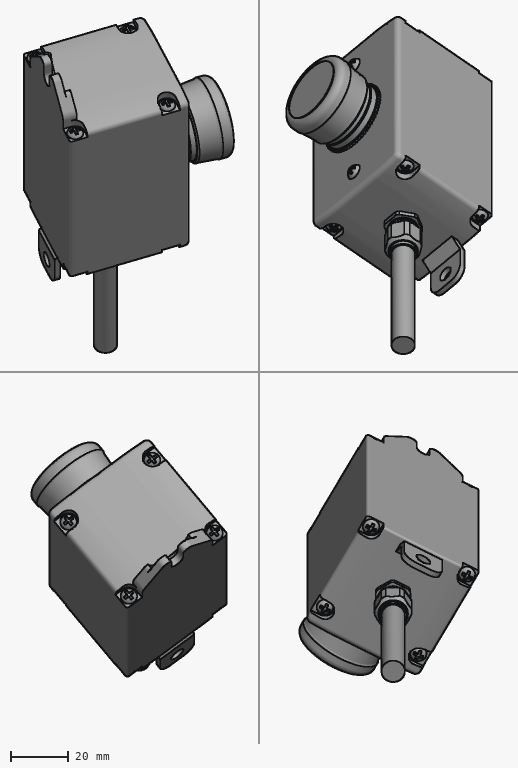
import cadquery as cq
import math


TOTAL_HEIGHT = 152.9

WIDTH = 45.0
DEPTH = 45.4
HEIGHT = 77.0
CENTER_Z = HEIGHT / 2
HALF_WIDTH = WIDTH / 2
FLAT_HALF_WIDTH = 10.0
END_ARC_RADIUS = 55.0
SIDE_EDGE_RADIUS = 1.8
LID_EDGE_RADIUS = 2.0
BACK_EDGE_RADIUS = 0.9

POCKET_RADIUS = 3.4
POCKET_DEPTH = 3.4
FRONT_SCREW = (18.7, 38.0)
BACK_SCREW = (19.1, 3.2)
LID_SCREW_OFFSET = 28.1
HEAD_RADIUS = 2.9
HEAD_HEIGHT = 2.0
CROSS_LENGTH = 3.7
CROSS_WIDTH = 0.9
CROSS_DEPTH = 0.8

TAB_TOP = 89.1
TAB_HALF_WIDTH = 15.7
TAB_SHOULDER_Z = 79.4
TAB_THICKNESS = 5.2
TAB_SHOULDER_RADIUS = 3.8
TAB_TIP_RADIUS = 2.5
SLOT_MOUTH_RADIUS = 1.7
SEAT_THICKNESS = 3.0
SEAT_TOP_Z = 85.0
SEAT_RADIUS = 9.0
SEAT_CENTER_Z = 86.2
SLOT_RADIUS = 2.6
SLOT_CENTER_Z = 83.6

STRAP_WIDTH = 15.3
STRAP_THICKNESS = 2.1
STRAP_DROP = 16.7
STRAP_BEND_ANGLE = math.radians(45)
STRAP_BEND_Z = -3.0
STRAP_CORNER_RADIUS = 4.9
STRAP_HOLE_RADIUS = 2.8
STRAP_HOLE_Z = -10.5

COLLAR_RADIUS = 13.8
COLLAR_FRONT = 46.5
COLLAR_TEETH = 60
NECK_RADIUS = 12.8
NECK_GROOVE_Y = 49.0
NECK_GROOVE_WIDTH = 0.5
NECK_GROOVE_DEPTH = 0.3
SKIRT_BACK = 51.5
SKIRT_BACK_RADIUS = 14.0
SKIRT_BACK_CHAMFER = 0.6
SKIRT_TAPER_START = 53.4
SKIRT_TAPER_END = 60.0
SKIRT_FRONT_RADIUS = 14.7
BAND_BACK = 60.7
BAND_RADIUS = 15.0
BUTTON_FRONT = 65.9
BUTTON_EDGE_RADIUS = 2.6
BAND_FRONT = 65.6
FACE_RADIUS = 11.6

GLAND_Y = 22.2
HEX_FLATS = 12.2
BASE_HEX_ROUND = 6.7
BASE_HEX_BOTTOM = 1.8
GLAND_NECK_RADIUS = 5.2
KNURL_TOP = 2.5
KNURL_RADIUS = 5.7
KNURL_TEETH = 30
NUT_TOP = 4.9
NUT_BOTTOM = 13.8
NUT_ROUND = 6.5
NUT_CONE_TOP = 12.2
NUT_CONE_END_RADIUS = 5.2
SEAL_RADIUS = 4.7
SEAL_BOTTOM = 15.3
CABLE_RADIUS = 4.1
CABLE_BOTTOM = TOTAL_HEIGHT - TAB_TOP

TOOTH_DEPTH = 0.5
PICK_MARGIN = 0.2
CLEARANCE = 1.5
OVERLAP = 0.8


def edges_between(x_min, x_max, z_min, z_max):
    """Selector of the edges whose centers lie in a range of X and Z."""
    low = (x_min - PICK_MARGIN, 0, z_min - PICK_MARGIN)
    high = (x_max + PICK_MARGIN, DEPTH, z_max + PICK_MARGIN)
    return cq.selectors.BoxSelector(low, high)


def arc_drop(reach):
    """Fall of an end face at a distance outside its flat strip."""
    return END_ARC_RADIUS - math.sqrt(END_ARC_RADIUS**2 - reach**2)


def make_housing():
    """Block with crowned ends, and rounded side, lid and back edges."""
    reach = HALF_WIDTH - FLAT_HALF_WIDTH
    drop = arc_drop(reach)
    side_top = HEIGHT - drop
    mid_x = FLAT_HALF_WIDTH + reach / 2
    mid_drop = arc_drop(reach / 2)
    block = (
        cq.Workplane("XZ")
        .moveTo(-FLAT_HALF_WIDTH, HEIGHT)
        .lineTo(FLAT_HALF_WIDTH, HEIGHT)
        .threePointArc((mid_x, HEIGHT - mid_drop), (HALF_WIDTH, side_top))
        .lineTo(HALF_WIDTH, drop)
        .threePointArc((mid_x, mid_drop), (FLAT_HALF_WIDTH, 0))
        .lineTo(-FLAT_HALF_WIDTH, 0)
        .threePointArc((-mid_x, mid_drop), (-HALF_WIDTH, drop))
        .lineTo(-HALF_WIDTH, side_top)
        .threePointArc((-mid_x, HEIGHT - mid_drop), (-FLAT_HALF_WIDTH, HEIGHT))
        .close()
        .extrude(-DEPTH)
    )
    for x in (-HALF_WIDTH, HALF_WIDTH):
        corner_edges = edges_between(x, x, 0, HEIGHT)
        block = block.edges("|Y").edges(corner_edges).fillet(SIDE_EDGE_RADIUS)
    block = block.faces(">Y").edges().fillet(LID_EDGE_RADIUS)
    return block.faces("<Y").edges("|Z").fillet(BACK_EDGE_RADIUS)


def make_pocket(x, y):
    """Round screw pocket in the top corner, open to the side and, at the back, to Y = 0."""
    side = math.copysign(1, x)
    outward = HALF_WIDTH - abs(x) + CLEARANCE
    height = POCKET_DEPTH + CLEARANCE
    plane = cq.Workplane("XY", origin=(x, y, HEIGHT - POCKET_DEPTH))
    bore = plane.circle(POCKET_RADIUS).extrude(height)
    opening = plane.center(side * outward / 2, 0).rect(outward, 2 * POCKET_RADIUS).extrude(height)
    pocket = bore.union(opening)
    reaches_back = y < POCKET_RADIUS
    if reaches_back:
        gap_width = POCKET_RADIUS + outward
        gap_center_x = side * (outward - POCKET_RADIUS) / 2
        gap = plane.center(gap_center_x, -y / 2).rect(gap_width, y).extrude(height)
        pocket = pocket.union(gap)
    return pocket


def make_screw_head():
    """Domed head with a cross recess, seated on Z = 0 and pointing along +Z."""
    dome_radius = (HEAD_RADIUS**2 + HEAD_HEIGHT**2) / (2 * HEAD_HEIGHT)
    mid_x = HEAD_RADIUS / 2
    mid_z = HEAD_HEIGHT - dome_radius + math.sqrt(dome_radius**2 - mid_x**2)
    head = (
        cq.Workplane("XZ")
        .moveTo(0, -OVERLAP)
        .lineTo(HEAD_RADIUS, -OVERLAP)
        .lineTo(HEAD_RADIUS, 0)
        .threePointArc((mid_x, mid_z), (0, HEAD_HEIGHT))
        .close()
        .revolve(360, (0, 0), (0, 1))
    )
    floor = cq.Workplane("XY", origin=(0, 0, HEAD_HEIGHT - CROSS_DEPTH))
    for length_x, length_y in ((CROSS_LENGTH, CROSS_WIDTH), (CROSS_WIDTH, CROSS_LENGTH)):
        head = head.cut(floor.rect(length_x, length_y).extrude(CROSS_DEPTH))
    return head


def shouldered_plate(top, thickness):
    """Plate on Y = 0 that narrows through 45 degree shoulders to a rounded top edge."""
    root_z = HEIGHT - POCKET_DEPTH
    tip_half_width = TAB_HALF_WIDTH - (top - TAB_SHOULDER_Z)
    outline = [
        (-TAB_HALF_WIDTH, root_z),
        (TAB_HALF_WIDTH, root_z),
        (TAB_HALF_WIDTH, TAB_SHOULDER_Z),
        (tip_half_width, top),
        (-tip_half_width, top),
        (-TAB_HALF_WIDTH, TAB_SHOULDER_Z),
    ]
    plate = cq.Workplane("XZ").polyline(outline).close().extrude(-thickness)
    shoulders = edges_between(-TAB_HALF_WIDTH, TAB_HALF_WIDTH, TAB_SHOULDER_Z, TAB_SHOULDER_Z)
    plate = plate.edges("|Y").edges(shoulders).fillet(TAB_SHOULDER_RADIUS)
    return plate.faces(">Z").edges("|Y").fillet(TAB_TIP_RADIUS)


def make_tab():
    """Slotted tab above the housing: a thin plate with a lower, thicker screw seat."""
    seat_plane = cq.Workplane("XZ", origin=(0, SEAT_THICKNESS, 0))
    seat = seat_plane.center(0, SEAT_CENTER_Z).circle(SEAT_RADIUS).extrude(-TAB_THICKNESS)
    thick_part = shouldered_plate(SEAT_TOP_Z, TAB_THICKNESS).cut(seat)
    plate = shouldered_plate(TAB_TOP, SEAT_THICKNESS).union(thick_part)

    slot_plane = cq.Workplane("XZ").center(0, SLOT_CENTER_Z)
    slot_length = TAB_TOP - SLOT_CENTER_Z + CLEARANCE
    slot = slot_plane.circle(SLOT_RADIUS).extrude(-TAB_THICKNESS)
    channel = slot_plane.center(0, slot_length / 2).rect(2 * SLOT_RADIUS, slot_length)
    plate = plate.cut(slot).cut(channel.extrude(-TAB_THICKNESS))

    mouth = edges_between(-SLOT_RADIUS, SLOT_RADIUS, TAB_TOP, TAB_TOP)
    return plate.edges("|Y").edges(mouth).fillet(SLOT_MOUTH_RADIUS)


def make_strap():
    """Flat strap below the housing, bent at 45 degrees into the underside."""
    bend_shift = STRAP_THICKNESS * math.tan(STRAP_BEND_ANGLE / 2)
    inner_bend_z = STRAP_BEND_Z - bend_shift
    outer_root_y = OVERLAP - STRAP_BEND_Z
    inner_root_y = STRAP_THICKNESS + OVERLAP - inner_bend_z
    section = [
        (0, -STRAP_DROP),
        (0, STRAP_BEND_Z),
        (outer_root_y, OVERLAP),
        (inner_root_y, OVERLAP),
        (STRAP_THICKNESS, inner_bend_z),
        (STRAP_THICKNESS, -STRAP_DROP),
    ]
    strap = cq.Workplane("YZ").polyline(section).close().extrude(STRAP_WIDTH / 2, both=True)
    strap = strap.faces("<Z").edges("|Y").fillet(STRAP_CORNER_RADIUS)
    hole = cq.Workplane("XZ").center(0, STRAP_HOLE_Z).circle(STRAP_HOLE_RADIUS)
    return strap.cut(hole.extrude(-STRAP_THICKNESS))


def toothed_disc(plane, radius, teeth, length):
    """Disc with evenly spaced pointed teeth around its rim."""
    points = []
    for i in range(2 * teeth):
        angle = math.pi * i / teeth
        reach = radius - TOOTH_DEPTH * (i % 2)
        points.append((reach * math.cos(angle), reach * math.sin(angle)))
    return plane.polyline(points).close().extrude(length)


def make_button():
    """Mushroom button on a toothed collar, turned about the Y direction."""
    sunk_y = DEPTH - OVERLAP
    profile = (
        cq.Workplane("XY")
        .moveTo(0, sunk_y)
        .lineTo(NECK_RADIUS, sunk_y)
        .lineTo(NECK_RADIUS, NECK_GROOVE_Y)
        .lineTo(NECK_RADIUS - NECK_GROOVE_DEPTH, NECK_GROOVE_Y)
        .lineTo(NECK_RADIUS - NECK_GROOVE_DEPTH, NECK_GROOVE_Y + NECK_GROOVE_WIDTH)
        .lineTo(NECK_RADIUS, NECK_GROOVE_Y + NECK_GROOVE_WIDTH)
        .lineTo(NECK_RADIUS, SKIRT_BACK)
        .lineTo(SKIRT_BACK_RADIUS - SKIRT_BACK_CHAMFER, SKIRT_BACK)
        .lineTo(SKIRT_BACK_RADIUS, SKIRT_BACK + SKIRT_BACK_CHAMFER)
        .lineTo(SKIRT_BACK_RADIUS, SKIRT_TAPER_START)
        .lineTo(SKIRT_FRONT_RADIUS, SKIRT_TAPER_END)
        .lineTo(BAND_RADIUS, BAND_BACK)
        .lineTo(BAND_RADIUS, BAND_FRONT - BUTTON_EDGE_RADIUS)
        .radiusArc((BAND_RADIUS - BUTTON_EDGE_RADIUS, BAND_FRONT), -BUTTON_EDGE_RADIUS)
        .lineTo(FACE_RADIUS, BAND_FRONT)
        .lineTo(FACE_RADIUS, BUTTON_FRONT)
        .lineTo(0, BUTTON_FRONT)
        .close()
    )
    button = profile.revolve(360, (0, 0), (0, 1)).translate((0, 0, CENTER_Z))
    collar_plane = cq.Workplane("XZ", origin=(0, sunk_y, CENTER_Z))
    collar = toothed_disc(collar_plane, COLLAR_RADIUS, COLLAR_TEETH, sunk_y - COLLAR_FRONT)
    return button.union(collar)


def gland_plane(depth):
    """Plane across the cable axis at a depth below the underside."""
    return cq.Workplane("XY", origin=(0, GLAND_Y, -depth))


def rounded_hex(top, bottom, turned_radius, angle):
    """Hexagonal ring whose corners are turned off to a round."""
    corner_diameter = HEX_FLATS / math.cos(math.pi / 6)
    hexagon = gland_plane(bottom).polygon(6, corner_diameter).extrude(bottom - top)
    hexagon = hexagon.rotate((0, GLAND_Y, 0), (0, GLAND_Y, 1), angle)
    return hexagon.intersect(gland_plane(bottom).circle(turned_radius).extrude(bottom - top))


def make_gland():
    """Cable gland on the underside with the cable hanging from it."""
    gland = rounded_hex(-OVERLAP, BASE_HEX_BOTTOM, BASE_HEX_ROUND, 0)
    gland = gland.union(gland_plane(KNURL_TOP).circle(GLAND_NECK_RADIUS).extrude(KNURL_TOP))
    knurl = toothed_disc(gland_plane(NUT_TOP), KNURL_RADIUS, KNURL_TEETH, NUT_TOP - KNURL_TOP)
    gland = gland.union(knurl)

    nut = rounded_hex(NUT_TOP, NUT_BOTTOM, NUT_ROUND, 30)
    nut_envelope = (
        cq.Workplane("XZ")
        .polyline(
            [
                (0, -NUT_TOP),
                (NUT_ROUND, -NUT_TOP),
                (NUT_ROUND, -NUT_CONE_TOP),
                (NUT_CONE_END_RADIUS, -NUT_BOTTOM),
                (0, -NUT_BOTTOM),
            ]
        )
        .close()
        .revolve(360, (0, 0), (0, 1))
        .translate((0, GLAND_Y, 0))
    )
    gland = gland.union(nut.intersect(nut_envelope))
    gland = gland.union(gland_plane(SEAL_BOTTOM).circle(SEAL_RADIUS).extrude(SEAL_BOTTOM - NUT_BOTTOM))
    return gland.union(gland_plane(CABLE_BOTTOM).circle(CABLE_RADIUS).extrude(CABLE_BOTTOM))


result = make_housing().union(make_tab())
screw_head = make_screw_head()
mirror_base = (0, 0, CENTER_Z)

for screw_x, screw_y in (FRONT_SCREW, BACK_SCREW):
    for x in (-screw_x, screw_x):
        pocket = make_pocket(x, screw_y)
        seated_head = screw_head.translate((x, screw_y, HEIGHT - POCKET_DEPTH))
        result = result.cut(pocket).cut(pocket.mirror("XY", mirror_base))
        result = result.union(seated_head).union(seated_head.mirror("XY", mirror_base))

lid_head = screw_head.rotate((0, 0, 0), (1, 0, 0), -90)
for offset in (-LID_SCREW_OFFSET, LID_SCREW_OFFSET):
    result = result.union(lid_head.translate((0, DEPTH, CENTER_Z + offset)))

result = result.union(make_button()).union(make_strap()).union(make_gland())